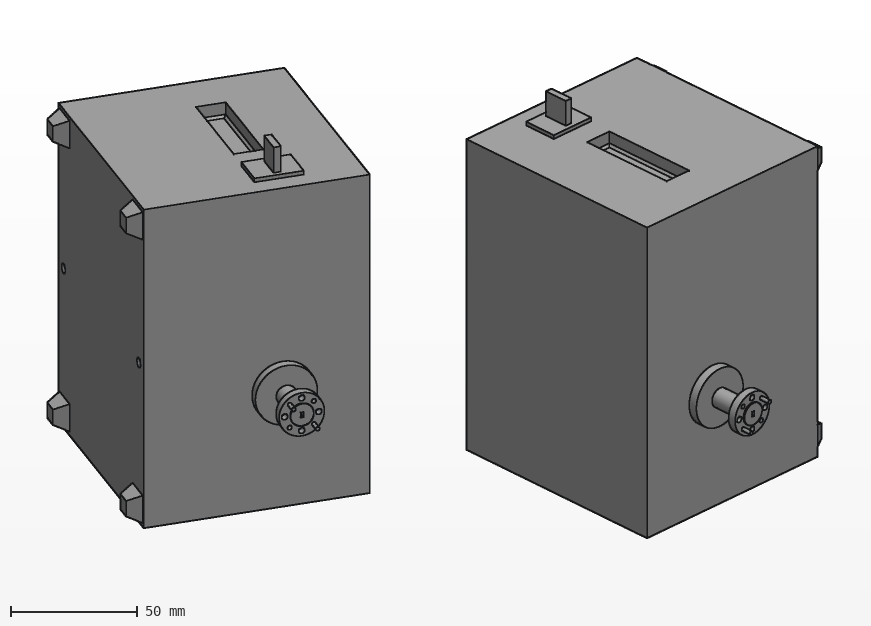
import cadquery as cq
import math

overall_length = 155.0
overall_depth = 100.4
overall_height = 152.6

body_width = 101.2
body_depth = 94.4
body_height = 139.8
foot_height = overall_depth - body_depth

foot_base = 12.1
foot_tip = 6.8
foot_side_offset = 7.3
foot_end_offset = 7.7

dimple_diameter = 4.2
dimple_depth = 1.4
dimple_side_offset = 6.0

window_length = 44.6
window_width = 12.4
window_wall_depth = 5.3
window_bevel = 1.1
window_x = -6.8
window_y = 56.1

switch_x = 34.2
switch_y = 59.5
plate_length = 15.5
plate_width = 20.6
plate_thickness = 1.7
lever_length = 11.2
lever_thickness = 3.1
lever_height = overall_height - body_height - plate_thickness

port_y = 58.1
port_z = 50.8
collar_diameter = 25.9
collar_thickness = 4.0
pipe_diameter = 8.5
flange_diameter = 18.9
flange_thickness = 3.7
lip_diameter = 9.8
lip_thickness = 0.6
pin_diameter = 1.7
pin_length = 4.6
bolt_circle_radius = 7.1
screw_hole_diameter = 2.5
pin_hole_diameter = 1.9
screw_hole_angles = (0, 90, 180, 270)
pin_hole_angles = (45, 225)
pin_angles = (135, 315)
slot_width = 1.2
slot_height = 2.2

port_length = (overall_length - body_width) / 2
flange_face = port_length - pin_length
flange_back = flange_face - flange_thickness
lip_face = flange_face + lip_thickness


def disc(diameter, start, end):
    """Cylinder on the port axis between two heights above the housing wall."""
    return cq.Workplane("XY").workplane(offset=start).circle(diameter / 2).extrude(end - start)


def bolt_circle(angles, diameter, start, end):
    """Equal cylinders on the flange bolt circle at the given angles in degrees."""
    points = [
        (bolt_circle_radius * math.cos(math.radians(a)), bolt_circle_radius * math.sin(math.radians(a)))
        for a in angles
    ]
    return (
        cq.Workplane("XY").workplane(offset=start)
        .pushPoints(points).circle(diameter / 2).extrude(end - start)
    )


def make_port():
    """Port standing on the XY plane, pointing along +Z."""
    port = disc(collar_diameter, 0, collar_thickness)
    port = port.union(disc(pipe_diameter, 0, flange_face))
    port = port.union(disc(flange_diameter, flange_back, flange_face))
    port = port.union(disc(lip_diameter, flange_face, lip_face))
    port = port.cut(bolt_circle(screw_hole_angles, screw_hole_diameter, flange_back, flange_face))
    port = port.cut(bolt_circle(pin_hole_angles, pin_hole_diameter, flange_back, flange_face))
    port = port.union(bolt_circle(pin_angles, pin_diameter, flange_back, port_length))
    slot = cq.Workplane("XY").rect(slot_height, slot_width).extrude(lip_face)
    return port.cut(slot)


def make_foot(x, z):
    """Square foot tapering outward from the front face."""
    return (
        cq.Workplane("XZ", origin=(x, 0, z)).rect(foot_base, foot_base)
        .workplane(offset=foot_height).rect(foot_tip, foot_tip).loft(ruled=True)
    )


def make_dimple(x):
    """Conical recess with its mouth on the front face."""
    return cq.Workplane("XY").add(
        cq.Solid.makeCone(
            dimple_diameter / 2, 0, dimple_depth,
            pnt=cq.Vector(x, 0, body_height / 2), dir=cq.Vector(0, 1, 0),
        )
    )


def make_window():
    """Straight-walled pocket whose floor edge is bevelled all round."""
    window_depth = window_wall_depth + window_bevel
    return (
        cq.Workplane("XY", origin=(window_x, window_y, body_height - window_depth))
        .rect(window_length, window_width).extrude(window_depth)
        .faces("<Z").chamfer(window_bevel)
    )


def make_switch():
    """Flat plate with an upright lever."""
    plate = cq.Workplane("XY").box(
        plate_length, plate_width, plate_thickness, centered=(True, True, False)
    )
    lever = plate.faces(">Z").workplane().rect(lever_length, lever_thickness).extrude(lever_height)
    return lever.translate((switch_x, switch_y, body_height))


result = cq.Workplane("XY").box(body_width, body_depth, body_height, centered=(True, False, False))
result = result.cut(make_window()).union(make_switch())

for side in (-1, 1):
    result = result.cut(make_dimple(side * (body_width / 2 - dimple_side_offset)))
    for foot_z in (foot_end_offset, body_height - foot_end_offset):
        result = result.union(make_foot(side * (body_width / 2 - foot_side_offset), foot_z))

left_port = (
    make_port().rotate((0, 0, 0), (0, 1, 0), -90)
    .translate((-body_width / 2, port_y, port_z))
)
result = result.union(left_port).union(left_port.mirror("YZ"))